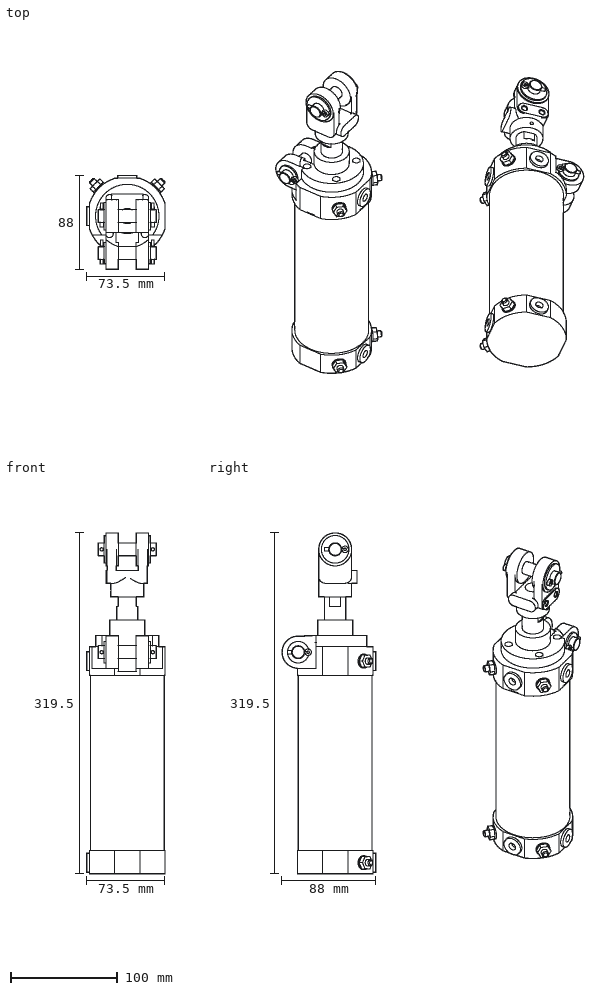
import cadquery as cq

CAP_RADIUS = 37.5
CAP_FLAT = 35.5
BASE_CAP_HEIGHT = 22.0
TUBE_DIAMETER = 69.3
HEAD_BOTTOM = 186.0
HEAD_TOP = 212.8
FLANGE_DIAMETER = 59.5
FLANGE_TOP = 223.3
BOSS_DIAMETER = 33.0
BOSS_TOP = 238.0
FLANGE_HOLE_DIAMETER = 7.0
FLANGE_HOLE_DEPTH = 6.5
FLANGE_HOLE_OFFSET = 16.5

PORT_HEIGHTS = (10.5, 199.5)
PORT_DIAMETER = 18.0
PORT_RAISE = 2.5
PORT_HOLE_DIAMETER = 7.0
PORT_HOLE_DEPTH = 4.8
PORT_POINT_DEPTH = 2.0
PORT_ANGLES = (90, 180)
NEEDLE_ANGLES = (45, 135)
NEEDLE_DIAMETER = 6.0
NEEDLE_TIP = 47.5
NEEDLE_CHAMFER = 1.0
NUT_DIAMETER = 13.0
NUT_OUTER = 42.8
NUT_COLLAR_DIAMETER = 13.0
NUT_COLLAR_OUTER = 38.3
NUT_SEAT = 32.0

ROD_DIAMETER = 20.0
ROD_TOP = 259.5
ROD_FLAT_WIDTH = 17.3
ROD_FLAT_HEIGHT = 9.0
STUD_DIAMETER = 14.5

PIN_DIAMETER = 12.0
PIN_LENGTH = 55.0
PIN_CHAMFER = 0.48
EAR_INNER = 8.3
EAR_OUTER = 20.0
COLLAR_OUTER = 21.7
COTTER_DIAMETER = 3.0
COTTER_OFFSET = 24.0
COTTER_TAIL = 10.2
COTTER_EYE_CENTRE = 9.3
COTTER_EYE_DIAMETER = 6.0
COTTER_EYE_HOLE = 2.3
COTTER_EYE_THICKNESS = 2.5

CLEVIS_DIAMETER = 30.5
CLEVIS_RADIUS = CLEVIS_DIAMETER / 2
CLEVIS_FRONT = -50.0
CLEVIS_Y = CLEVIS_FRONT + CLEVIS_RADIUS
CLEVIS_Z = 207.7
CLEVIS_COLLAR_DIAMETER = 20.0
SHOULDER_Y = -18.0
SLOT_FLOOR = 189.8
SLOT_WIDE_HALF = 10.5
SLOT_STEP_Y = -24.5

KNUCKLE_DIAMETER = 31.0
KNUCKLE_EYE_Z = 319.5 - KNUCKLE_DIAMETER / 2
KNUCKLE_COLLAR_DIAMETER = 26.0
FORK_INNER = 10.2
FORK_OUTER = 19.0
FORK_BOTTOM = 272.2
PAD_HEIGHT = 12.0
PAD_LENGTH = 29.5
FORK_FLOOR = FORK_BOTTOM + PAD_HEIGHT
FORK_CORNER = 6.5
BACK_PAD_FACE = 20.5
PAD_HOLE_DIAMETER = 4.8
PAD_HOLE_MOUTH = 6.0
PAD_HOLE_DEPTH = 4.8
COUNTERSINK_TAPER = 45
SET_SCREW_DIAMETER = 3.0
SET_SCREW_Z = 265.5
SET_SCREW_DEPTH = 3.2


def upright(diameter, bottom, top):
    """Cylinder about the Z axis."""
    return cq.Workplane("XY").workplane(offset=bottom).circle(diameter / 2).extrude(top - bottom)


def block(x_range, y_range, z_range):
    """Box given by its limits along each axis."""
    sizes = [high - low for low, high in (x_range, y_range, z_range)]
    return cq.Workplane("XY").box(*sizes, centered=False).translate((x_range[0], y_range[0], z_range[0]))


def along_x(diameter, x_range, y, z):
    """Cylinder parallel to X."""
    start, end = x_range
    return cq.Workplane("YZ", origin=(start, y, z)).circle(diameter / 2).extrude(end - start)


def both_sides(shape):
    """The shape joined with its mirror image across the YZ plane."""
    return shape.union(shape.mirror("YZ"))


def end_cap(bottom, top):
    """Round cap with four side flats."""
    flats = cq.Workplane("XY").workplane(offset=bottom).rect(2 * CAP_FLAT, 2 * CAP_FLAT).extrude(top - bottom)
    return upright(2 * CAP_RADIUS, bottom, top).intersect(flats)


def clevis_ear():
    """One ear on the +X side, with its collar."""
    eye = along_x(2 * CLEVIS_RADIUS, (EAR_INNER, EAR_OUTER), CLEVIS_Y, CLEVIS_Z)
    root = block(
        (EAR_INNER, EAR_OUTER),
        (CLEVIS_Y, SHOULDER_Y),
        (CLEVIS_Z - CLEVIS_RADIUS, CLEVIS_Z + CLEVIS_RADIUS),
    )
    collar = along_x(CLEVIS_COLLAR_DIAMETER, (EAR_OUTER, COLLAR_OUTER), CLEVIS_Y, CLEVIS_Z)
    return eye.union(root).union(collar)


def clevis_slot():
    """Gap between the ears, wider behind the step."""
    narrow = block((-EAR_INNER, EAR_INNER), (CLEVIS_FRONT, 0), (SLOT_FLOOR, FLANGE_TOP))
    wide = block((-SLOT_WIDE_HALF, SLOT_WIDE_HALF), (SLOT_STEP_Y, 0), (SLOT_FLOOR, FLANGE_TOP))
    return narrow.union(wide)


def cylinder_head():
    """Head cap with its flange, rod boss and clevis."""
    ledge_z = CLEVIS_Z - CLEVIS_RADIUS
    front = (-CAP_RADIUS, SHOULDER_Y)
    cap_recess = block((-CAP_RADIUS, CAP_RADIUS), front, (ledge_z, HEAD_TOP))
    flange_recess = block((EAR_OUTER, CAP_RADIUS), front, (HEAD_TOP, FLANGE_TOP))
    head = end_cap(HEAD_BOTTOM, HEAD_TOP).cut(cap_recess)
    head = head.union(both_sides(clevis_ear()))
    head = head.union(upright(FLANGE_DIAMETER, HEAD_TOP, FLANGE_TOP).cut(both_sides(flange_recess)))
    head = head.cut(clevis_slot())
    head = head.union(upright(BOSS_DIAMETER, SLOT_FLOOR, BOSS_TOP))
    head = head.cut(along_x(PIN_DIAMETER, (-COLLAR_OUTER, COLLAR_OUTER), CLEVIS_Y, CLEVIS_Z))
    spacing = 2 * FLANGE_HOLE_OFFSET
    holes = (
        cq.Workplane("XY")
        .workplane(offset=FLANGE_TOP - FLANGE_HOLE_DEPTH)
        .rect(spacing, spacing, forConstruction=True)
        .vertices()
        .circle(FLANGE_HOLE_DIAMETER / 2)
        .extrude(FLANGE_HOLE_DEPTH)
    )
    return head.cut(holes)


def place_radially(shape, angle, height):
    """Move a shape built along +X to the given angle and height."""
    return shape.rotate((0, 0, 0), (0, 0, 1), angle).translate((0, 0, height))


def port_hole():
    """Port hole with a pointed bottom, along +X."""
    face = CAP_FLAT + PORT_RAISE
    bottom = face - PORT_HOLE_DEPTH
    radius = PORT_HOLE_DIAMETER / 2
    profile = [(face, 0), (face, radius), (bottom, radius), (bottom - PORT_POINT_DEPTH, 0)]
    return cq.Workplane("XY").polyline(profile).close().revolve(360, (0, 0, 0), (1, 0, 0))


def cushion_needle():
    """Hexagonal nut, round collar and needle stem, along +X."""
    nut = cq.Workplane("YZ", origin=(NUT_SEAT, 0, 0)).polygon(6, NUT_DIAMETER).extrude(NUT_OUTER - NUT_SEAT)
    collar = along_x(NUT_COLLAR_DIAMETER, (NUT_SEAT, NUT_COLLAR_OUTER), 0, 0)
    stem = along_x(NEEDLE_DIAMETER, (NUT_SEAT, NEEDLE_TIP), 0, 0).faces(">X").chamfer(NEEDLE_CHAMFER)
    return nut.union(collar).union(stem)


def piston_rod():
    """Rod with two wrench flats and the stud that enters the knuckle."""
    flat_bottom = ROD_TOP - ROD_FLAT_HEIGHT
    rod = upright(ROD_DIAMETER, BOSS_TOP, ROD_TOP)
    flat = block(
        (ROD_FLAT_WIDTH / 2, ROD_DIAMETER),
        (-ROD_DIAMETER, ROD_DIAMETER),
        (flat_bottom, ROD_TOP),
    )
    return rod.cut(both_sides(flat)).union(upright(STUD_DIAMETER, ROD_TOP, FORK_FLOOR))


def make_cylinder():
    """Tube, both caps, ports, needles and the extended rod."""
    body = end_cap(0, BASE_CAP_HEIGHT)
    body = body.union(upright(TUBE_DIAMETER, BASE_CAP_HEIGHT, HEAD_BOTTOM))
    body = body.union(cylinder_head())
    port_pad = along_x(PORT_DIAMETER, (CAP_FLAT, CAP_FLAT + PORT_RAISE), 0, 0)
    for height in PORT_HEIGHTS:
        for angle in PORT_ANGLES:
            body = body.union(place_radially(port_pad, angle, height))
            body = body.cut(place_radially(port_hole(), angle, height))
        for angle in NEEDLE_ANGLES:
            body = body.union(place_radially(cushion_needle(), angle, height))
    return body.union(piston_rod())


def knuckle_ear():
    """Thick round eye on the +X side, with its collar."""
    eye = along_x(KNUCKLE_DIAMETER, (EAR_INNER, EAR_OUTER), 0, KNUCKLE_EYE_Z)
    return eye.union(along_x(KNUCKLE_COLLAR_DIAMETER, (EAR_OUTER, COLLAR_OUTER), 0, KNUCKLE_EYE_Z))


def fork():
    """U-shaped fork with rounded lower edges."""
    radius = KNUCKLE_DIAMETER / 2
    outer = block((-FORK_OUTER, FORK_OUTER), (-radius, radius), (FORK_BOTTOM, KNUCKLE_EYE_Z))
    outer = outer.faces("<Z").edges("|X").fillet(FORK_CORNER)
    gap = block((-FORK_INNER, FORK_INNER), (-radius, radius), (FORK_FLOOR, KNUCKLE_EYE_Z))
    return outer.cut(gap)


def make_knuckle():
    """Fork, socket and pads of the rod-end knuckle."""
    pad_z = FORK_BOTTOM + PAD_HEIGHT / 2
    hole_y = (PAD_LENGTH - PAD_HEIGHT) / 2
    hole_centres = [(-hole_y, 0), (hole_y, 0)]
    knuckle = fork().union(upright(KNUCKLE_DIAMETER, ROD_TOP, FORK_FLOOR))
    knuckle = knuckle.union(both_sides(knuckle_ear()))

    side_plane = cq.Workplane("YZ", origin=(-EAR_OUTER, 0, pad_z))
    side_pad = side_plane.slot2D(PAD_LENGTH, PAD_HEIGHT).extrude(EAR_OUTER - FORK_OUTER)
    back_pad = (
        cq.Workplane("XZ", origin=(0, BACK_PAD_FACE, pad_z))
        .slot2D(PAD_LENGTH, PAD_HEIGHT)
        .extrude(BACK_PAD_FACE)
    )
    knuckle = knuckle.union(side_pad).union(back_pad)

    pad_holes = (
        side_plane.pushPoints(hole_centres)
        .circle(PAD_HOLE_DIAMETER / 2)
        .extrude(PAD_HOLE_DEPTH)
    )
    mouth_depth = (PAD_HOLE_MOUTH - PAD_HOLE_DIAMETER) / 2
    pad_mouths = (
        side_plane.pushPoints(hole_centres)
        .circle(PAD_HOLE_MOUTH / 2)
        .extrude(mouth_depth, taper=COUNTERSINK_TAPER)
    )
    socket_side = -KNUCKLE_DIAMETER / 2
    set_screw_hole = along_x(
        SET_SCREW_DIAMETER, (socket_side, socket_side + SET_SCREW_DEPTH), 0, SET_SCREW_Z
    )
    knuckle = knuckle.cut(pad_holes).cut(pad_mouths).cut(set_screw_hole)
    knuckle = knuckle.cut(upright(STUD_DIAMETER, ROD_TOP, FORK_FLOOR))
    return knuckle.cut(along_x(PIN_DIAMETER, (-COLLAR_OUTER, COLLAR_OUTER), 0, KNUCKLE_EYE_Z))


def cotter_wire(x, y, z):
    """Straight leg of a cotter, parallel to Y, from the tail to the eye."""
    start = y + COTTER_EYE_CENTRE
    length = COTTER_EYE_CENTRE + COTTER_TAIL
    return cq.Workplane("XZ", origin=(x, start, z)).circle(COTTER_DIAMETER / 2).extrude(length)


def make_cotter(x, y, z):
    """Cotter through the pin at (x, y, z), with a ring-shaped eye at +Y."""
    eye_range = (x - COTTER_EYE_THICKNESS / 2, x + COTTER_EYE_THICKNESS / 2)
    eye_y = y + COTTER_EYE_CENTRE
    cotter = cotter_wire(x, y, z).union(along_x(COTTER_EYE_DIAMETER, eye_range, eye_y, z))
    hole_range = (x - COTTER_DIAMETER, x + COTTER_DIAMETER)
    return cotter.cut(along_x(COTTER_EYE_HOLE, hole_range, eye_y, z))


def make_pin(y, z):
    """Joint pin parallel to X, with a cross hole for a cotter at each end."""
    pin = along_x(PIN_DIAMETER, (-PIN_LENGTH / 2, PIN_LENGTH / 2), y, z)
    pin = pin.faces("<X or >X").chamfer(PIN_CHAMFER)
    for x in (-COTTER_OFFSET, COTTER_OFFSET):
        pin = pin.cut(cotter_wire(x, y, z))
    return pin


cylinder = make_cylinder()
knuckle = make_knuckle()
pins = []
cotters = []
for joint_y, joint_z in ((CLEVIS_Y, CLEVIS_Z), (0, KNUCKLE_EYE_Z)):
    pins.append(make_pin(joint_y, joint_z).val())
    for cotter_x in (-COTTER_OFFSET, COTTER_OFFSET):
        cotters.append(make_cotter(cotter_x, joint_y, joint_z).val())

result = cq.Compound.makeCompound([cylinder.val(), knuckle.val(), *pins, *cotters])